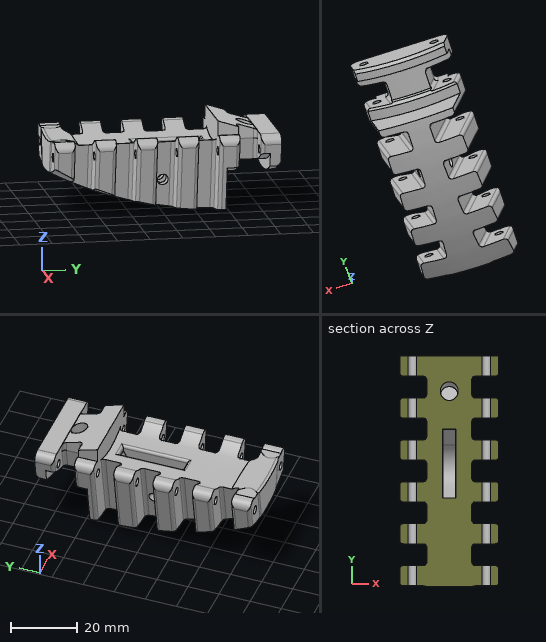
import cadquery as cq
import math


LENGTH = 69.55
WIDTH = 30.8
FRONT_PAD_HEIGHT = 0.2
RIB_COUNT = 6
RIB_WIDTH = 6.2
RIB_PITCH = (LENGTH - FRONT_PAD_HEIGHT - RIB_WIDTH) / (RIB_COUNT - 1)
RIB_STARTS = [FRONT_PAD_HEIGHT + i * RIB_PITCH for i in range(RIB_COUNT)]
BLOCK_FRONT = RIB_STARTS[4]
LAST_RIB_FRONT = RIB_STARTS[5]
BIG = 139.1
MARGIN = 0.7

SIDE_ANGLE = 10.0
TOP_RADIUS = 2.5
DIAGONAL = math.sqrt(0.5)
TOP_CENTER_X = WIDTH / 2 - TOP_RADIUS
INNER_EDGE_X = 11.5
INNER_EDGE_Z = math.sqrt(TOP_RADIUS**2 - (TOP_CENTER_X - INNER_EDGE_X) ** 2) - TOP_RADIUS
CORNER_RADIUS = 1.05
SIDE_TAN = math.tan(math.radians(SIDE_ANGLE))
SIDE_COS = math.cos(math.radians(SIDE_ANGLE))
SIDE_SIN = math.sin(math.radians(SIDE_ANGLE))
SIDE_TOP_X = TOP_CENTER_X + TOP_RADIUS / SIDE_COS + TOP_RADIUS * SIDE_TAN

SADDLE_RADIUS = 21.2
SADDLE_CENTER_Z = INNER_EDGE_Z + math.sqrt(SADDLE_RADIUS**2 - INNER_EDGE_X**2)

CORE_HALF_WIDTH = 7.3
CORE_EDGE_Z = SADDLE_CENTER_Z - math.sqrt(SADDLE_RADIUS**2 - CORE_HALF_WIDTH**2)
CORE_TOP_X = CORE_HALF_WIDTH - CORE_EDGE_Z * SIDE_TAN
GAP_DEPTH = (SIDE_TOP_X - CORE_TOP_X) * SIDE_COS

LIP_CREST_Y = 3.05
LIP_CENTER_X = 0.4
LIP_CREST_Z = -1.3
LIP_RING_RADIUS = 34.8
LIP_PROFILE_RADIUS = 10.1
LIP_END_Y = 12.5
LIP_EDGE_Y = 0.9
LIP_EDGE_DROP = 0.2

PAD_BASE_HALF_WIDTH = 8.75
PAD_FACE_HALF_WIDTH = 7.9
PAD_SIDE_ANGLE = 9.0

BELLY_REAR = 53.15
BELLY_BOTTOM_Z = -24.75
BELLY_LENGTH_RADIUS = 114.75
BELLY_CROSS_RADIUS = 48.7
BELLY_YAW = -3.0
BELLY_OVERRUN = 13.9

CLAMP_AXIS_Z = 17.75
FOOT_RADIUS = 31.0
GROOVE_RADIUS = 27.75
GROOVE_FRONT = 57.25
GROOVE_REAR = 66.15
FOOT_CHAMFER = 1.0

WEDGE_FRONT_Z = 4.2
WEDGE_REAR_Z = 0.15

RIB_HOLE_DIAMETER = 2.5
RIB_HOLE_X = 11.1
RIB_HOLE_Z = -5.15
PIN_HOLE_DIAMETER = 3.3
PIN_Y = 34.9
PIN_Z = -14.75
SCREW_HOLE_DIAMETER = 5.2
SCREW_HOLE_DEPTH = 10.0
SCREW_HOLE_Y = 60.85
SCREW_HOLE_CLEARANCE = 3.5

POCKET_REAR = 47.35
POCKET_HALF_WIDTH = 1.95
POCKET_FLOOR_RADIUS = 8.35
POCKET_CENTER_Y = 35.1
POCKET_FRONT = POCKET_CENTER_Y - POCKET_FLOOR_RADIUS
POCKET_CENTER_Z = -11.95
POCKET_RAMP_ANGLE = 65.0
POCKET_EDGE_RADIUS = 0.9
RIM_SEARCH = 0.35


def box(x0, x1, y0, y1, z0, z1):
    """Box between two opposite corners."""
    return cq.Workplane("XY").box(x1 - x0, y1 - y0, z1 - z0, centered=False).translate((x0, y0, z0))


def cylinder_y(radius, x, z, y0, y1):
    """Cylinder along Y from y0 to y1."""
    return cq.Workplane("XZ", origin=(x, y0, z)).circle(radius).extrude(y0 - y1)


def revolve_y(profile, axis_z):
    """Turn a closed YZ profile about the line x = 0, z = axis_z."""
    return profile.revolve(360, (0, axis_z, 0), (1, axis_z, 0))


def both_sides(solid):
    """Join a solid with its mirror image across the YZ plane."""
    return solid.union(solid.mirror("YZ"))


def blank():
    """Long bar with rounded shoulders; the top between them is low except on the last rib."""

    def bar(flat_x, flat_z, y0, y1):
        mid_x = TOP_CENTER_X + TOP_RADIUS * DIAGONAL
        mid_z = TOP_RADIUS * (DIAGONAL - 1)
        side_x = TOP_CENTER_X + TOP_RADIUS * SIDE_COS
        side_z = -TOP_RADIUS * (1 + SIDE_SIN)
        bottom_z = BELLY_BOTTOM_Z - MARGIN
        bottom_x = SIDE_TOP_X + bottom_z * SIDE_TAN
        half = (
            cq.Workplane("XZ", origin=(0, y0, 0))
            .moveTo(0, bottom_z)
            .lineTo(bottom_x, bottom_z)
            .lineTo(side_x, side_z)
            .threePointArc((mid_x, mid_z), (TOP_CENTER_X, 0))
        )
        if flat_x < TOP_CENTER_X:
            between = (flat_x + TOP_CENTER_X) / 2
            rise = math.sqrt(TOP_RADIUS**2 - (TOP_CENTER_X - between) ** 2) - TOP_RADIUS
            half = half.threePointArc((between, rise), (flat_x, flat_z))
        return both_sides(half.lineTo(0, flat_z).close().extrude(y0 - y1))

    main = bar(INNER_EDGE_X, INNER_EDGE_Z, FRONT_PAD_HEIGHT, LAST_RIB_FRONT)
    return main.union(bar(TOP_CENTER_X, 0, LAST_RIB_FRONT, LENGTH))


def rib_gaps():
    """Everything outside the comb of ribs, leaning with the sides of the part."""
    edge = -GAP_DEPTH
    fillet = CORNER_RADIUS
    outer = (
        cq.Workplane("XY")
        .moveTo(BIG, RIB_STARTS[0])
        .lineTo(-fillet, RIB_STARTS[0])
        .radiusArc((0, RIB_STARTS[0] + fillet), -fillet)
    )
    for start, following in zip(RIB_STARTS, RIB_STARTS[1:]):
        gap0 = start + RIB_WIDTH
        outer = (
            outer.lineTo(0, gap0 - fillet)
            .radiusArc((-fillet, gap0), -fillet)
            .lineTo(edge + fillet, gap0)
            .radiusArc((edge, gap0 + fillet), fillet)
            .lineTo(edge, following - fillet)
            .radiusArc((edge + fillet, following), fillet)
            .lineTo(-fillet, following)
            .radiusArc((0, following + fillet), -fillet)
        )
    comb = outer.lineTo(0, LENGTH + MARGIN).lineTo(BIG, LENGTH + MARGIN).close().extrude(BIG)
    comb = comb.translate((0, 0, -BIG / 2)).rotate((0, 0, 0), (0, 1, 0), SIDE_ANGLE)
    return both_sides(comb.translate((SIDE_TOP_X, 0, 0)))


def front_pad():
    """Thin bevelled pad, as tall as the front rib, standing out of its front face."""
    bottom_z = BELLY_BOTTOM_Z

    def outline(plane, half_width):
        taper = (INNER_EDGE_Z - bottom_z) * math.tan(math.radians(PAD_SIDE_ANGLE))
        bottom_half = half_width - taper
        return plane.polyline([
            (-half_width, INNER_EDGE_Z),
            (half_width, INNER_EDGE_Z),
            (bottom_half, bottom_z),
            (-bottom_half, bottom_z),
        ]).close()

    base = outline(cq.Workplane("XZ", origin=(0, FRONT_PAD_HEIGHT, 0)), PAD_BASE_HALF_WIDTH)
    return outline(base.workplane(offset=FRONT_PAD_HEIGHT), PAD_FACE_HALF_WIDTH).loft(ruled=True)


def saddle_cut():
    """Saddle channel, limited at the front by the ridge of the lip."""
    channel = cylinder_y(SADDLE_RADIUS, 0, SADDLE_CENTER_Z, 0, BLOCK_FRONT)

    def ridge_z(y):
        reach = y - LIP_CREST_Y
        return LIP_CREST_Z - LIP_PROFILE_RADIUS + math.sqrt(LIP_PROFILE_RADIUS**2 - reach**2)

    axis_z = LIP_CREST_Z + LIP_RING_RADIUS
    edge_z = ridge_z(LIP_EDGE_Y)
    end_z = ridge_z(LIP_END_Y)
    profile = (
        cq.Workplane("YZ")
        .moveTo(0, axis_z)
        .lineTo(0, edge_z - LIP_EDGE_DROP)
        .lineTo(LIP_EDGE_Y, edge_z)
        .threePointArc((LIP_CREST_Y, LIP_CREST_Z), (LIP_END_Y, end_z))
        .lineTo(LIP_END_Y, axis_z)
        .close()
    )
    above_lip = revolve_y(profile, axis_z).translate((LIP_CENTER_X, 0, 0))
    return channel.intersect(above_lip.union(box(-BIG, BIG, LIP_END_Y, BIG, -BIG, BIG)))


def underside():
    """Space above the belly and above the rear clamp; the part stays inside it."""
    belly_axis_z = BELLY_BOTTOM_Z + BELLY_CROSS_RADIUS

    def belly_z(y):
        reach = BELLY_REAR - y
        return BELLY_BOTTOM_Z + BELLY_LENGTH_RADIUS - math.sqrt(BELLY_LENGTH_RADIUS**2 - reach**2)

    front_y = -BELLY_OVERRUN
    rear_y = BELLY_REAR + BELLY_OVERRUN
    belly_profile = (
        cq.Workplane("YZ")
        .moveTo(front_y, belly_axis_z)
        .lineTo(front_y, belly_z(front_y))
        .threePointArc((BELLY_REAR / 2, belly_z(BELLY_REAR / 2)), (rear_y, belly_z(rear_y)))
        .lineTo(rear_y, belly_axis_z)
        .close()
    )
    belly = revolve_y(belly_profile, belly_axis_z)
    belly = belly.rotate((0, BELLY_REAR, 0), (0, BELLY_REAR, 1), BELLY_YAW)
    belly = belly.intersect(box(-BIG, BIG, -BIG, BELLY_REAR, -BIG, BIG))

    foot_z = CLAMP_AXIS_Z - FOOT_RADIUS
    groove_z = CLAMP_AXIS_Z - GROOVE_RADIUS
    clamp_profile = cq.Workplane("YZ").polyline([
        (BELLY_REAR, CLAMP_AXIS_Z),
        (BELLY_REAR, foot_z),
        (GROOVE_FRONT - FOOT_CHAMFER, foot_z),
        (GROOVE_FRONT, foot_z + FOOT_CHAMFER),
        (GROOVE_FRONT, groove_z),
        (GROOVE_REAR, groove_z),
        (GROOVE_REAR, foot_z),
        (LENGTH - FOOT_CHAMFER, foot_z),
        (LENGTH, foot_z + FOOT_CHAMFER),
        (LENGTH, CLAMP_AXIS_Z),
    ]).close()
    return belly.union(revolve_y(clamp_profile, CLAMP_AXIS_Z))


def wedge_block():
    """T-shaped block over the fifth rib and the core behind it, with a top sloping to the rear."""
    rib_rear = BLOCK_FRONT + RIB_WIDTH
    corner = CORNER_RADIUS
    half = (
        cq.Workplane("XY", origin=(0, 0, CORE_EDGE_Z))
        .moveTo(0, BLOCK_FRONT)
        .lineTo(INNER_EDGE_X, BLOCK_FRONT)
        .lineTo(INNER_EDGE_X, rib_rear)
        .lineTo(CORE_HALF_WIDTH + corner, rib_rear)
        .radiusArc((CORE_HALF_WIDTH, rib_rear + corner), corner)
        .lineTo(CORE_HALF_WIDTH, LAST_RIB_FRONT - corner)
        .radiusArc((CORE_HALF_WIDTH + corner, LAST_RIB_FRONT), corner)
        .lineTo(0, LAST_RIB_FRONT)
        .close()
        .extrude(WEDGE_FRONT_Z - CORE_EDGE_Z)
    )
    side = cq.Workplane("YZ", origin=(-BIG / 2, 0, 0)).polyline([
        (BLOCK_FRONT, CORE_EDGE_Z),
        (BLOCK_FRONT, WEDGE_FRONT_Z),
        (LAST_RIB_FRONT, WEDGE_REAR_Z),
        (LAST_RIB_FRONT, CORE_EDGE_Z),
    ]).close().extrude(BIG)
    return both_sides(half).intersect(side)


def pocket():
    """Narrow pocket with a round floor that runs out into a steep ramp at the rear."""
    ramp = math.radians(POCKET_RAMP_ANGLE)
    ramp_y = POCKET_CENTER_Y + POCKET_FLOOR_RADIUS * math.sin(ramp)
    ramp_z = POCKET_CENTER_Z - POCKET_FLOOR_RADIUS * math.cos(ramp)
    ramp_end_z = ramp_z + (POCKET_REAR - ramp_y) * math.tan(ramp)
    return (
        cq.Workplane("YZ", origin=(-POCKET_HALF_WIDTH, 0, 0))
        .moveTo(POCKET_FRONT, 0)
        .lineTo(POCKET_FRONT, POCKET_CENTER_Z)
        .threePointArc((POCKET_CENTER_Y, POCKET_CENTER_Z - POCKET_FLOOR_RADIUS), (ramp_y, ramp_z))
        .lineTo(POCKET_REAR, ramp_end_z)
        .lineTo(POCKET_REAR, 0)
        .close()
        .extrude(2 * POCKET_HALF_WIDTH)
    )


def round_pocket_rim(body):
    """Round the rim where the pocket opens into the saddle."""
    rim_z = SADDLE_CENTER_Z - SADDLE_RADIUS
    rim = cq.selectors.BoxSelector(
        (-POCKET_HALF_WIDTH - RIM_SEARCH, POCKET_FRONT - RIM_SEARCH, rim_z - RIM_SEARCH),
        (POCKET_HALF_WIDTH + RIM_SEARCH, POCKET_REAR + RIM_SEARCH, rim_z + RIM_SEARCH),
    )
    return body.edges(rim).fillet(POCKET_EDGE_RADIUS)


def screw_hole():
    """Blind hole square to the sloping top of the wedge block."""
    slope = (WEDGE_FRONT_Z - WEDGE_REAR_Z) / (LAST_RIB_FRONT - BLOCK_FRONT)
    top_z = WEDGE_REAR_Z + (LAST_RIB_FRONT - SCREW_HOLE_Y) * slope
    plane = cq.Plane(origin=(0, SCREW_HOLE_Y, top_z), xDir=(1, 0, 0), normal=(0, slope, 1))
    drill = cq.Workplane(plane).workplane(offset=SCREW_HOLE_CLEARANCE).circle(SCREW_HOLE_DIAMETER / 2)
    return drill.extrude(-SCREW_HOLE_CLEARANCE - SCREW_HOLE_DEPTH)


def lowered_core_space():
    """Space above the core behind the fifth rib, where the wedge block stands."""
    return box(-WIDTH, WIDTH, BLOCK_FRONT + RIB_WIDTH, LAST_RIB_FRONT, CORE_EDGE_Z, BIG)


def rib_holes():
    """Hole along Y through every rib on both sides."""
    return both_sides(cylinder_y(RIB_HOLE_DIAMETER / 2, RIB_HOLE_X, RIB_HOLE_Z, -MARGIN, LENGTH + MARGIN))


def pin_hole():
    """Cross hole along X through the core."""
    return cq.Workplane("YZ").center(PIN_Y, PIN_Z).circle(PIN_HOLE_DIAMETER / 2).extrude(BIG, both=True)


body = blank().cut(rib_gaps()).cut(lowered_core_space())
body = body.union(front_pad()).intersect(underside())
body = body.cut(saddle_cut()).cut(pocket())
body = round_pocket_rim(body).union(wedge_block())
result = body.cut(rib_holes()).cut(pin_hole()).cut(screw_hole())